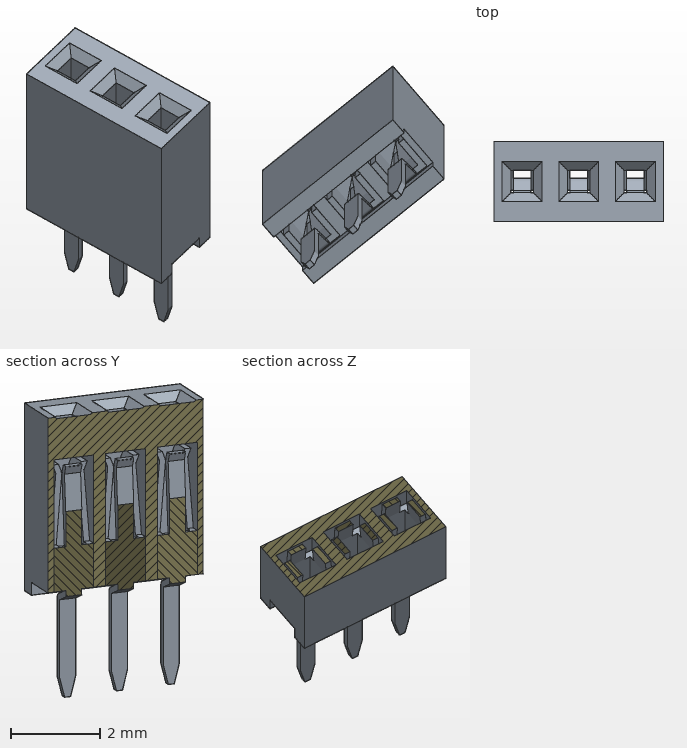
import cadquery as cq
import math


TOTAL_HEIGHT = 6.7
HOUSING_LENGTH = 3.81
HOUSING_WIDTH = 1.8
HOUSING_HEIGHT = 4.4
SOCKET_COUNT = 3
PITCH = HOUSING_LENGTH / SOCKET_COUNT

SLOT_WIDTH = 1.01
SLOT_DEPTH = 0.3
MOUTH_SIDE = 0.9
THROAT_SIDE = 0.5
FUNNEL_DEPTH = (MOUTH_SIDE - THROAT_SIDE) / 2
CAVITY_SIDE = 0.965
CAVITY_ROOF_DEPTH = 1.005
CAVITY_ROOF_Z = HOUSING_HEIGHT - CAVITY_ROOF_DEPTH

STRIP_WIDTH = 0.395
STRIP_THICKNESS = 0.15
BEND_ANGLE = math.radians(25)
TAIL_BOTTOM_Z = HOUSING_HEIGHT - TOTAL_HEIGHT
TIP_WIDTH = 0.15
TIP_LENGTH = 0.475

CAGE_OUTER = CAVITY_SIDE / 2
CAGE_INNER = CAGE_OUTER - STRIP_THICKNESS
CAGE_TOP_Z = 1.34
LEAF_CREST = STRIP_WIDTH / 2
LEAF_CREST_Z = 3.015
LEAF_FLARE = 0.08
LEAF_TIP_Z = 3.215

SOCKET_XS = [(i - (SOCKET_COUNT - 1) / 2) * PITCH for i in range(SOCKET_COUNT)]


def square_prism(side, bottom_z, top_z):
    return cq.Workplane("XY", origin=(0, 0, bottom_z)).rect(side, side).extrude(top_z - bottom_z)


def socket_opening():
    """Flared mouth, square throat and wide contact cavity, around the Z axis."""
    funnel = (
        cq.Workplane("XY", origin=(0, 0, HOUSING_HEIGHT - FUNNEL_DEPTH))
        .rect(THROAT_SIDE, THROAT_SIDE)
        .workplane(offset=FUNNEL_DEPTH)
        .rect(MOUTH_SIDE, MOUTH_SIDE)
        .loft(ruled=True)
    )
    throat = square_prism(THROAT_SIDE, CAVITY_ROOF_Z, HOUSING_HEIGHT - FUNNEL_DEPTH)
    cavity = square_prism(CAVITY_SIDE, SLOT_DEPTH, CAVITY_ROOF_Z)
    return funnel.union(throat).union(cavity)


def make_housing():
    body = cq.Workplane("XY").rect(HOUSING_LENGTH, HOUSING_WIDTH).extrude(HOUSING_HEIGHT)
    slot = cq.Workplane("XY").rect(HOUSING_LENGTH, SLOT_WIDTH).extrude(SLOT_DEPTH)
    body = body.cut(slot)
    opening = socket_opening()
    for x in SOCKET_XS:
        body = body.cut(opening.translate((x, 0, 0)))
    return body


def bent_strip():
    """Tail, sloped run and upright back; both bends are sharp inside and round outside."""
    half = STRIP_THICKNESS / 2
    lower_y, lower_z = -half, 0

    def around(corner_y, corner_z, angle):
        return (
            corner_y + STRIP_THICKNESS * math.cos(angle),
            corner_z + STRIP_THICKNESS * math.sin(angle),
        )

    slope_normal = math.pi / 2 - BEND_ANGLE
    slope_start = around(lower_y, lower_z, slope_normal)
    upper_y = -CAGE_INNER
    upper_z = slope_start[1] + (slope_start[0] - upper_y) * math.tan(BEND_ANGLE)

    profile = (
        cq.Workplane("YZ", origin=(-STRIP_WIDTH / 2, 0, 0))
        .moveTo(-half, TAIL_BOTTOM_Z)
        .lineTo(half, TAIL_BOTTOM_Z)
        .lineTo(half, lower_z)
        .threePointArc(around(lower_y, lower_z, slope_normal / 2), slope_start)
        .lineTo(upper_y, upper_z)
        .lineTo(upper_y, CAGE_TOP_Z)
        .lineTo(-CAGE_OUTER, CAGE_TOP_Z)
        .lineTo(-CAGE_OUTER, upper_z)
        .threePointArc(
            around(upper_y, upper_z, math.pi + slope_normal / 2),
            around(upper_y, upper_z, math.pi + slope_normal),
        )
        .lineTo(lower_y, lower_z)
        .close()
    )
    return profile.extrude(STRIP_WIDTH)


def tip_corner(side):
    """Wedge beside the tapered tip; side is -1 or 1 along X."""
    edge = side * STRIP_WIDTH / 2
    return (
        cq.Workplane("XZ")
        .polyline([
            (edge, TAIL_BOTTOM_Z),
            (edge, TAIL_BOTTOM_Z + TIP_LENGTH),
            (side * TIP_WIDTH / 2, TAIL_BOTTOM_Z),
        ])
        .close()
        .extrude(STRIP_THICKNESS, both=True)
    )


def cage():
    """U-shaped wall around the socket axis, open towards +Y."""
    height = CAGE_TOP_Z - SLOT_DEPTH
    return (
        cq.Workplane("XY", origin=(0, 0, SLOT_DEPTH))
        .polyline([
            (-CAGE_OUTER, -CAGE_OUTER),
            (CAGE_OUTER, -CAGE_OUTER),
            (CAGE_OUTER, CAGE_INNER),
            (CAGE_INNER, CAGE_INNER),
            (CAGE_INNER, -CAGE_INNER),
            (-CAGE_INNER, -CAGE_INNER),
            (-CAGE_INNER, CAGE_INNER),
            (-CAGE_OUTER, CAGE_INNER),
        ])
        .close()
        .extrude(height)
    )


def spring_leaf(start_x, end_x):
    """Leaf on the -Y wall of the cage: it leans in to its crest, then flares out."""
    inner_face = [
        (-CAGE_INNER, CAGE_TOP_Z),
        (-LEAF_CREST, LEAF_CREST_Z),
        (-LEAF_CREST - LEAF_FLARE, LEAF_TIP_Z),
    ]
    outer_face = [(y - STRIP_THICKNESS, z) for y, z in reversed(inner_face)]
    return (
        cq.Workplane("YZ", origin=(start_x, 0, 0))
        .polyline(inner_face + outer_face)
        .close()
        .extrude(end_x - start_x)
    )


def make_contact():
    contact = bent_strip()
    for side in (-1, 1):
        contact = contact.cut(tip_corner(side))
    contact = contact.union(cage())
    back_leaf = spring_leaf(-STRIP_WIDTH / 2, STRIP_WIDTH / 2)
    right_leaf = spring_leaf(-LEAF_CREST, CAGE_INNER).rotate((0, 0, 0), (0, 0, 1), 90)
    left_leaf = right_leaf.mirror("YZ")
    for leaf in (back_leaf, right_leaf, left_leaf):
        contact = contact.union(leaf)
    return contact


housing = make_housing()
contact = make_contact()
contacts = [contact.translate((x, 0, 0)) for x in SOCKET_XS]

result = cq.Compound.makeCompound([
    housing.solids().val(),
    *[placed.solids().val() for placed in contacts],
])